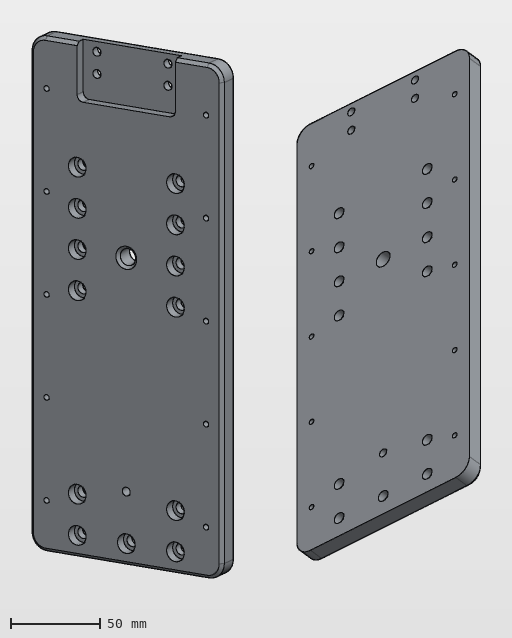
import cadquery as cq

WIDTH = 125.0
THICKNESS = 12.0
HEIGHT = 300.0
CORNER_RADIUS = 10.0
EDGE_CHAMFER = 2.0

POCKET_WIDTH = 64.0
POCKET_HEIGHT = 34.5
POCKET_DEPTH = 6.5
POCKET_RADIUS = 4.0
POCKET_HOLE_SPACING = 46.2
POCKET_HOLE_DROPS = (6.0, 19.0)

SIDE_HOLE_DIAMETER = 3.3
SIDE_HOLE_SPACING = 103.8
SIDE_HOLE_COUNT = 5
SIDE_HOLE_PITCH = HEIGHT / SIDE_HOLE_COUNT

PIN_DIAMETER = 5.0
PIN_HEIGHT = 43.0

BOLT_DIAMETER = 7.0
BORE_DIAMETER = 11.5
BORE_DEPTH = 6.5
BOLT_SPACING = POCKET_WIDTH
BOLT_PITCH = 24.0
LOWER_BOLT_HEIGHT = 12.5
TOP_BOLT_HEIGHT = 227.0

CENTRE_DIAMETER = 10.0
CENTRE_CHAMFER = 1.8
CENTRE_HEIGHT = TOP_BOLT_HEIGHT - 2 * BOLT_PITCH


def make_plate():
    """Rounded plate standing on Z = 0, with its front edge chamfered."""
    plate = cq.Workplane("XY").box(WIDTH, THICKNESS, HEIGHT, centered=(True, False, False))
    plate = plate.edges("|Y").fillet(CORNER_RADIUS)
    return plate.faces("<Y").chamfer(EDGE_CHAMFER)


def make_pocket():
    """Cutter open at the top and front, with its two lower corners rounded."""
    pocket = cq.Workplane("XY").box(
        POCKET_WIDTH, POCKET_DEPTH, POCKET_HEIGHT, centered=(True, False, False)
    )
    pocket = pocket.edges("|Y and <Z").fillet(POCKET_RADIUS)
    return pocket.translate((0, 0, HEIGHT - POCKET_HEIGHT))


def mirrored(spacing, heights):
    """Pairs of (x, z) places on both sides of the centre line."""
    return [(side * spacing / 2, height) for side in (-1, 1) for height in heights]


def cylinders(places, diameter, depth):
    """Round cutters reaching from the front face to the given depth."""
    return cq.Workplane("XZ").pushPoints(places).circle(diameter / 2).extrude(-depth)


side_heights = [SIDE_HOLE_PITCH * (row + 0.5) for row in range(SIDE_HOLE_COUNT)]
side_places = mirrored(SIDE_HOLE_SPACING, side_heights)

pin_places = mirrored(POCKET_HOLE_SPACING, [HEIGHT - drop for drop in POCKET_HOLE_DROPS])
pin_places.append((0, PIN_HEIGHT))

bolt_heights = [TOP_BOLT_HEIGHT - BOLT_PITCH * row for row in range(4)]
bolt_heights += [LOWER_BOLT_HEIGHT, LOWER_BOLT_HEIGHT + BOLT_PITCH]
bolt_places = mirrored(BOLT_SPACING, bolt_heights)
bolt_places.append((0, LOWER_BOLT_HEIGHT))

centre_mouth = cq.Solid.makeCone(
    CENTRE_DIAMETER / 2 + CENTRE_CHAMFER,
    CENTRE_DIAMETER / 2,
    CENTRE_CHAMFER,
    pnt=cq.Vector(0, 0, CENTRE_HEIGHT),
    dir=cq.Vector(0, 1, 0),
)

result = (
    make_plate()
    .cut(make_pocket())
    .cut(cylinders(side_places, SIDE_HOLE_DIAMETER, THICKNESS))
    .cut(cylinders(pin_places, PIN_DIAMETER, THICKNESS))
    .cut(cylinders(bolt_places, BOLT_DIAMETER, THICKNESS))
    .cut(cylinders(bolt_places, BORE_DIAMETER, BORE_DEPTH))
    .cut(cylinders([(0, CENTRE_HEIGHT)], CENTRE_DIAMETER, THICKNESS))
    .cut(centre_mouth)
)